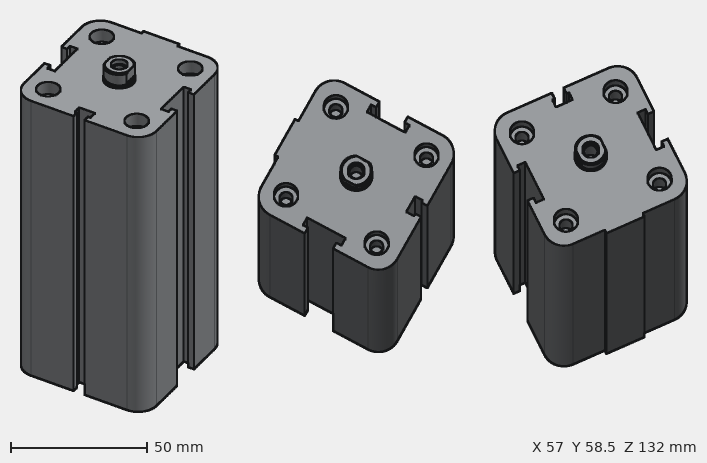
import cadquery as cq

side = 57.0
total_height = 132.0
rod_protrusion = 6.6
housing_height = total_height - rod_protrusion
corner_radius = 7.9
tab_width = 15.5
tab_thickness = 1.5

slot_depth = 5.7
slot_lip = 2.5
side_slot_opening = 11.9
side_slot_width = 16.1
front_slot_opening = 4.8
front_slot_width = 6.7

mount_spacing = 38.0
mount_bore_diameter = 9.0
mount_bore_depth = 5.5
mount_hole_diameter = 4.9
mount_hole_depth = 14.5

rod_diameter = 12.0
rod_end_diameter = 11.7
shaft_protrusion = 0.7
neck_diameter = 11.2
neck_length = 0.4
rod_end_length = rod_protrusion - shaft_protrusion - neck_length
rod_seat_depth = 14.5
rod_end_chamfer = 0.5
flat_width = 10.0
flat_length = 4.9

rod_bore_diameter = 6.2
rod_bore_depth = 2.1
rod_hole_diameter = 4.9
rod_hole_depth = 11.9


def t_slot(opening, width):
    """T-slot running the full height, open toward -Y at the housing's -Y face."""
    mouth_y = -side / 2
    mouth = cq.Workplane().box(opening, slot_depth, housing_height, centered=(True, False, False))
    undercut = (
        cq.Workplane()
        .box(width, slot_depth - slot_lip, housing_height, centered=(True, False, False))
        .translate((0, slot_lip, 0))
    )
    return mouth.union(undercut).translate((0, mouth_y, 0))


def turned(body, angle):
    """Rotate a body about the Z axis."""
    return body.rotate((0, 0, 0), (0, 0, 1), angle)


def cut_stepped_hole(body, places, bore_diameter, bore_depth, hole_diameter, hole_depth):
    """Cut a wide bore and a deeper narrow hole down from each place; both depths start at the mouth."""
    wide = places.circle(bore_diameter / 2).extrude(-bore_depth)
    narrow = places.circle(hole_diameter / 2).extrude(-hole_depth)
    return body.cut(wide).cut(narrow)


def make_housing():
    housing = (
        cq.Workplane()
        .box(side, side, housing_height, centered=(True, True, False))
        .edges("|Z")
        .fillet(corner_radius)
    )

    tab = (
        cq.Workplane()
        .box(tab_width, 2 * tab_thickness, housing_height, centered=(True, True, False))
        .translate((0, side / 2, 0))
    )
    housing = housing.union(tab)

    housing = housing.cut(t_slot(front_slot_opening, front_slot_width))
    for angle in (-90, 90):
        housing = housing.cut(turned(t_slot(side_slot_opening, side_slot_width), angle))

    top = cq.Workplane(origin=(0, 0, housing_height))
    corners = top.rect(mount_spacing, mount_spacing, forConstruction=True).vertices()
    housing = cut_stepped_hole(
        housing,
        corners,
        mount_bore_diameter,
        mount_bore_depth,
        mount_hole_diameter,
        mount_hole_depth,
    )

    return housing.cut(top.circle(rod_diameter / 2).extrude(-rod_seat_depth))


def make_rod():
    shaft = (
        cq.Workplane(origin=(0, 0, housing_height - rod_seat_depth))
        .circle(rod_diameter / 2)
        .extrude(rod_seat_depth + shaft_protrusion)
    )
    neck = shaft.faces(">Z").workplane().circle(neck_diameter / 2).extrude(neck_length)
    rod = neck.faces(">Z").workplane().circle(rod_end_diameter / 2).extrude(rod_end_length)
    rod = rod.faces(">Z").chamfer(rod_end_chamfer)

    flat_zone = cq.Workplane(origin=(0, 0, total_height - flat_length))
    blank = flat_zone.rect(side, side).extrude(flat_length)
    kept = flat_zone.rect(flat_width, side).extrude(flat_length)
    rod = rod.cut(blank.cut(kept))

    return cut_stepped_hole(
        rod,
        cq.Workplane(origin=(0, 0, total_height)),
        rod_bore_diameter,
        rod_bore_depth,
        rod_hole_diameter,
        rod_hole_depth,
    )


housing = make_housing()
rod = make_rod()

result = cq.Compound.makeCompound([housing.val(), rod.val()])